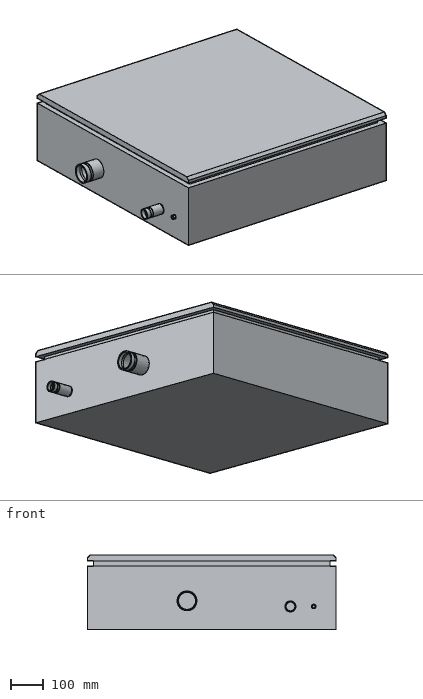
import cadquery as cq

side = 762.0
total_height = 229.0
neck_height = 16.0
lid_height = 18.0
box_height = total_height - neck_height - lid_height
neck_inset = 19.0
lid_chamfer = 9.0

overall_length = 902.0
front_reach = 63.0
rear_reach = overall_length - side - front_reach

large_x = -76.0
large_z = 88.0
large_diameter = 60.0
large_groove_diameter = 57.0
large_bore = 52.0
large_tip = 15.0
large_groove_width = 7.0

small_x = 241.0
small_z = 71.0
small_diameter = 33.0
small_groove_diameter = 30.0
small_bore = 27.0
small_tip = 14.0
small_groove_width = 8.0

nipple_x = 312.0
nipple_reach = 9.0
nipple_diameter = 13.5
nipple_bore = 9.0


def wall_plane(x, z, wall):
    """Plane on the front or rear wall, with its normal pointing outward."""
    outward = -1 if wall == "front" else 1
    return cq.Plane(origin=(x, outward * side / 2, z), xDir=(1, 0, 0), normal=(0, outward, 0))


def rod(plane, diameter, start, length):
    """Cylinder along the plane normal, beginning at a distance from the wall."""
    return cq.Workplane(plane).workplane(offset=start).circle(diameter / 2).extrude(length)


def add_pipe(body, plane, reach, diameter, bore, groove_diameter, groove_width, tip):
    """Pipe stub with one outer groove behind its tip, bored from its end to the wall."""
    groove_start = reach - tip - groove_width
    groove = rod(plane, diameter, groove_start, groove_width).cut(
        rod(plane, groove_diameter, groove_start, groove_width)
    )
    pipe = rod(plane, diameter, 0, reach).cut(groove).cut(rod(plane, bore, 0, reach))
    return body.union(pipe)


def make_housing():
    """Box, neck and lid; the lid is chamfered on its two X sides only."""
    neck_side = side - 2 * neck_inset
    box = cq.Workplane("XY").box(side, side, box_height, centered=(True, True, False))
    neck = (
        cq.Workplane("XY")
        .workplane(offset=box_height)
        .box(neck_side, neck_side, neck_height, centered=(True, True, False))
    )
    lid = (
        cq.Workplane("XY")
        .workplane(offset=box_height + neck_height)
        .box(side, side, lid_height, centered=(True, True, False))
        .faces(">Z")
        .edges("|Y")
        .chamfer(lid_chamfer)
    )
    return box.union(neck).union(lid)


result = make_housing()
for wall, reach in (("front", front_reach), ("rear", rear_reach)):
    result = add_pipe(
        result,
        wall_plane(large_x, large_z, wall),
        reach,
        large_diameter,
        large_bore,
        large_groove_diameter,
        large_groove_width,
        large_tip,
    )
    result = add_pipe(
        result,
        wall_plane(small_x, small_z, wall),
        reach,
        small_diameter,
        small_bore,
        small_groove_diameter,
        small_groove_width,
        small_tip,
    )

nipple_plane = wall_plane(nipple_x, small_z, "front")
nipple = rod(nipple_plane, nipple_diameter, 0, nipple_reach).cut(
    rod(nipple_plane, nipple_bore, 0, nipple_reach)
)
result = result.union(nipple)